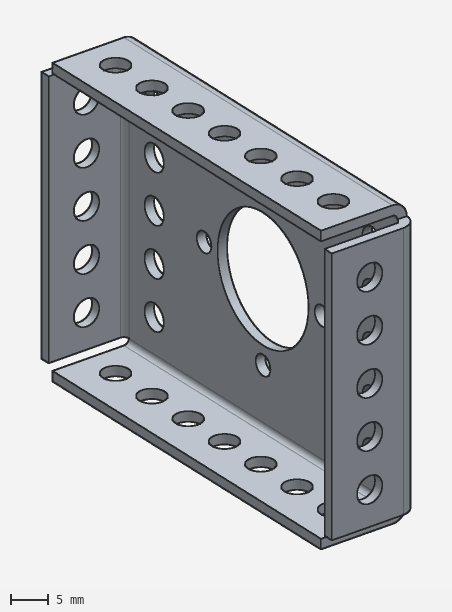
import cadquery as cq

length = 64.0
depth = 14.3
height = 48.0

thickness = 1.6
inner_bend_radius = 0.8
outer_bend_radius = thickness + inner_bend_radius

hole_pitch = 8.0
grid_hole_diameter = 4.2
side_hole_count = 5
long_hole_count = 7
base_column_x = 3 * hole_pitch
flange_hole_from_back = 8.0

center_hole_diameter = 20.02
mount_hole_diameter = 3.2
mount_hole_offset = 13.0

back_y = depth / 2
front_y = -depth / 2
flange_hole_y = back_y - flange_hole_from_back

flat_length = length - 2 * outer_bend_radius
flat_height = height - 2 * outer_bend_radius


def row_positions(count):
    """Centered positions of a row of grid holes."""
    return [(i - (count - 1) / 2) * hole_pitch for i in range(count)]


def base_plate():
    plate = cq.Workplane("XY").box(flat_length, thickness, flat_height)
    return plate.translate((0, back_y - thickness / 2, 0))


def bent_flange(outer_face, width):
    """Flange on the +X side with its bend; outer_face is the distance of its outside from the center."""
    bend_x = outer_face - outer_bend_radius
    bend_y = back_y - outer_bend_radius
    inner_face = outer_face - thickness
    return (
        cq.Workplane("XY")
        .moveTo(bend_x, back_y)
        .radiusArc((outer_face, bend_y), outer_bend_radius)
        .lineTo(outer_face, front_y)
        .lineTo(inner_face, front_y)
        .lineTo(inner_face, bend_y)
        .radiusArc((bend_x, back_y - thickness), -inner_bend_radius)
        .close()
        .extrude(width / 2, both=True)
    )


def turn_about_y(body, angle):
    return body.rotate((0, 0, 0), (0, 1, 0), angle)


def cutter(plane, points, diameter):
    """Cylinders through the whole part, along the normal of the plane."""
    return cq.Workplane(plane).pushPoints(points).circle(diameter / 2).extrude(length, both=True)


def base_holes():
    columns = [(x, z) for x in (-base_column_x, base_column_x) for z in row_positions(side_hole_count)]
    mounts = [
        (mount_hole_offset, 0),
        (-mount_hole_offset, 0),
        (0, mount_hole_offset),
        (0, -mount_hole_offset),
    ]
    holes = cutter("XZ", columns, grid_hole_diameter)
    holes = holes.union(cutter("XZ", mounts, mount_hole_diameter))
    return holes.union(cutter("XZ", [(0, 0)], center_hole_diameter))


def side_flange_holes():
    points = [(flange_hole_y, z) for z in row_positions(side_hole_count)]
    return cutter("YZ", points, grid_hole_diameter)


def long_flange_holes():
    points = [(x, flange_hole_y) for x in row_positions(long_hole_count)]
    return cutter("XY", points, grid_hole_diameter)


side_flange = bent_flange(length / 2, flat_height).cut(side_flange_holes())
long_flange = bent_flange(height / 2, flat_length)

result = base_plate().cut(base_holes())
for angle in (0, 180):
    result = result.union(turn_about_y(side_flange, angle))
    result = result.union(turn_about_y(long_flange, angle + 90).cut(long_flange_holes()))